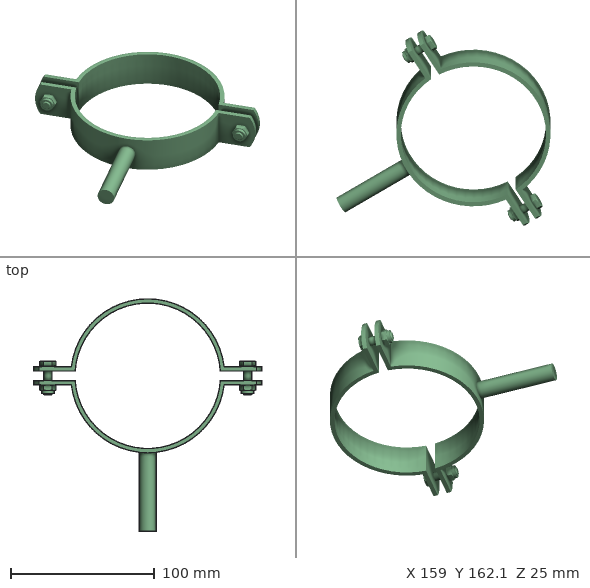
import cadquery as cq
import math

BAND_WIDTH = 25.0
RING_RADIUS = 53.7
THICKNESS = 3.0
GAP = 6.6
FLANGE_TIP_X = 159.0 / 2
FLANGE_CORNER_X = 75.7
BOLT_HOLE_DIAMETER = 6.5
BOLT_X = 69.5

ROD_DIAMETER = 12.0
ROD_END_Y = RING_RADIUS - 162.1

SHANK_DIAMETER = 6.0
HEX_ACROSS_FLATS = 10.0
HEAD_HEIGHT = 3.9
WASHER_FACE_HEIGHT = 0.5
WASHER_FACE_DIAMETER = 8.8
NUT_HEX_HEIGHT = 3.9
NUT_HEIGHT = 6.0
NUT_COLLAR_DIAMETER = 8.9
HEX_CHAMFER_ANGLE = 30
BOLT_PROTRUSION = 1.0
BOLT_TIP_CHAMFER = 0.5

INNER_RADIUS = RING_RADIUS - THICKNESS
FLANGE_INNER_Y = GAP / 2
FLANGE_OUTER_Y = FLANGE_INNER_Y + THICKNESS
HEX_ACROSS_CORNERS = HEX_ACROSS_FLATS / math.cos(math.pi / 6)


def half_disc(radius, start_y):
    """Part of a disc lying behind the line Y = start_y."""
    disc = cq.Workplane("XY").circle(radius).extrude(BAND_WIDTH / 2, both=True)
    keep = cq.Workplane("XY").box(
        2 * radius, radius, BAND_WIDTH, centered=(True, False, True)
    )
    return disc.intersect(keep.translate((0, start_y, 0)))


def flange_strip():
    """Full-length plate with both ends rounded, later opened by the ring bore."""
    half_width = BAND_WIDTH / 2
    return (
        cq.Workplane("XZ", origin=(0, FLANGE_OUTER_Y, 0))
        .moveTo(-FLANGE_CORNER_X, -half_width)
        .lineTo(FLANGE_CORNER_X, -half_width)
        .threePointArc((FLANGE_TIP_X, 0), (FLANGE_CORNER_X, half_width))
        .lineTo(-FLANGE_CORNER_X, half_width)
        .threePointArc((-FLANGE_TIP_X, 0), (-FLANGE_CORNER_X, -half_width))
        .close()
        .extrude(THICKNESS)
    )


def make_clamp_half():
    """Rear clamp half: half ring with a drilled flange on each side."""
    bolt_holes = (
        cq.Workplane("XZ", origin=(0, FLANGE_OUTER_Y, 0))
        .pushPoints([(-BOLT_X, 0), (BOLT_X, 0)])
        .circle(BOLT_HOLE_DIAMETER / 2)
        .extrude(THICKNESS)
    )
    return (
        half_disc(RING_RADIUS, FLANGE_INNER_Y)
        .union(flange_strip())
        .cut(half_disc(INNER_RADIUS, 0))
        .cut(bolt_holes)
    )


def make_rod_half():
    """Front clamp half with the rod, one solid."""
    weld_y = -(RING_RADIUS - THICKNESS / 2)
    rod = (
        cq.Workplane("XZ", origin=(0, weld_y, 0))
        .circle(ROD_DIAMETER / 2)
        .extrude(weld_y - ROD_END_Y)
    )
    return make_clamp_half().rotate((0, 0, 0), (0, 0, 1), 180).union(rod)


def chamfered_hexagon(height, chamfer_base):
    """Hexagon along +Z from Z = 0, corners turned off at the far end and, if asked, the base."""
    hexagon = cq.Workplane("XY").polygon(6, HEX_ACROSS_CORNERS).extrude(height)
    flat_radius = HEX_ACROSS_FLATS / 2
    corner_radius = HEX_ACROSS_CORNERS / 2
    drop = (corner_radius - flat_radius) * math.tan(math.radians(HEX_CHAMFER_ANGLE))
    base_radius = flat_radius if chamfer_base else corner_radius
    turned_blank = (
        cq.Workplane("XZ")
        .polyline([
            (0, 0),
            (base_radius, 0),
            (corner_radius, drop),
            (corner_radius, height - drop),
            (flat_radius, height),
            (0, height),
        ])
        .close()
        .revolve(360, (0, 0, 0), (0, 1, 0))
    )
    return hexagon.intersect(turned_blank)


def make_bolt(x):
    """Hexagon bolt with its head on the rear flange and its tip beyond the nut."""
    hexagon = chamfered_hexagon(HEAD_HEIGHT - WASHER_FACE_HEIGHT, chamfer_base=False)
    washer_face = cq.Workplane("XY").circle(WASHER_FACE_DIAMETER / 2).extrude(WASHER_FACE_HEIGHT)
    head = washer_face.union(hexagon.translate((0, 0, WASHER_FACE_HEIGHT)))
    shank_length = 2 * FLANGE_OUTER_Y + NUT_HEIGHT + BOLT_PROTRUSION
    shank = (
        cq.Workplane("XY")
        .circle(SHANK_DIAMETER / 2)
        .extrude(-shank_length)
        .faces("<Z")
        .chamfer(BOLT_TIP_CHAMFER)
    )
    bolt = head.union(shank).rotate((0, 0, 0), (1, 0, 0), -90)
    return bolt.translate((x, FLANGE_OUTER_Y, 0))


def make_nut(x):
    """Lock nut: chamfered hexagon with a round collar, seated on the front flange."""
    collar = cq.Workplane("XY").circle(NUT_COLLAR_DIAMETER / 2).extrude(NUT_HEIGHT)
    bore = cq.Workplane("XY").circle(SHANK_DIAMETER / 2).extrude(NUT_HEIGHT)
    nut = chamfered_hexagon(NUT_HEX_HEIGHT, chamfer_base=True).union(collar).cut(bore)
    return nut.rotate((0, 0, 0), (1, 0, 0), 90).translate((x, -FLANGE_OUTER_Y, 0))


rear_half = make_clamp_half()
front_half = make_rod_half()
bolts = [make_bolt(x) for x in (-BOLT_X, BOLT_X)]
nuts = [make_nut(x) for x in (-BOLT_X, BOLT_X)]

result = cq.Compound.makeCompound([
    rear_half.val(),
    front_half.val(),
    *[bolt.val() for bolt in bolts],
    *[nut.val() for nut in nuts],
])